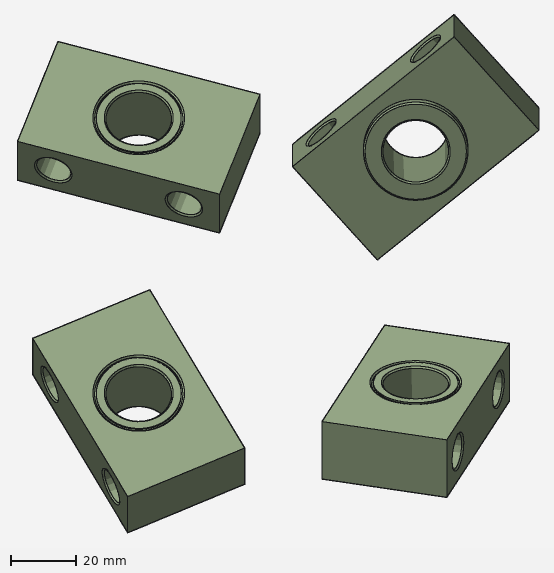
import cadquery as cq

block_length = 65.0
block_width = 40.0
block_height = 20.0

bushing_diameter = 26.0
seat_diameter = 27.0
bore_diameter = 20.0
flange_diameter = 32.0
flange_height = 3.0

cross_hole_diameter = 11.0
cross_hole_spacing = 42.0

edge_chamfer = 0.5


def chamfered_hole(diameter, depth):
    """Cutter along -Z from Z = 0, widened by a chamfer at both ends."""
    radius = diameter / 2
    mouth_radius = radius + edge_chamfer
    return (
        cq.Workplane("XZ")
        .moveTo(0, 0)
        .lineTo(mouth_radius, 0)
        .lineTo(radius, -edge_chamfer)
        .lineTo(radius, edge_chamfer - depth)
        .lineTo(mouth_radius, -depth)
        .lineTo(0, -depth)
        .close()
        .revolve(360, (0, 0, 0), (0, 1, 0))
    )


def seat_groove():
    """Shallow ring between the straight bushing wall and the chamfered rim of its seat."""
    bushing_radius = bushing_diameter / 2
    seat_radius = seat_diameter / 2
    return (
        cq.Workplane("XZ")
        .moveTo(bushing_radius, 0)
        .lineTo(bushing_radius, -edge_chamfer)
        .lineTo(seat_radius, -edge_chamfer)
        .lineTo(seat_radius + edge_chamfer, 0)
        .close()
        .revolve(360, (0, 0, 0), (0, 1, 0))
    )


block = cq.Workplane("XY").box(
    block_length, block_width, block_height, centered=(True, True, False)
).translate((0, 0, -block_height))

flange = (
    cq.Workplane("XY", origin=(0, 0, -block_height))
    .circle(flange_diameter / 2)
    .extrude(-flange_height)
    .faces("<Z")
    .chamfer(edge_chamfer)
)

result = block.union(flange)
result = result.cut(chamfered_hole(bore_diameter, block_height + flange_height))
result = result.cut(seat_groove())

cross_hole = (
    chamfered_hole(cross_hole_diameter, block_width)
    .rotate((0, 0, 0), (1, 0, 0), 90)
    .translate((0, -block_width / 2, -block_height / 2))
)
for side in (-1, 1):
    result = result.cut(cross_hole.translate((side * cross_hole_spacing / 2, 0, 0)))